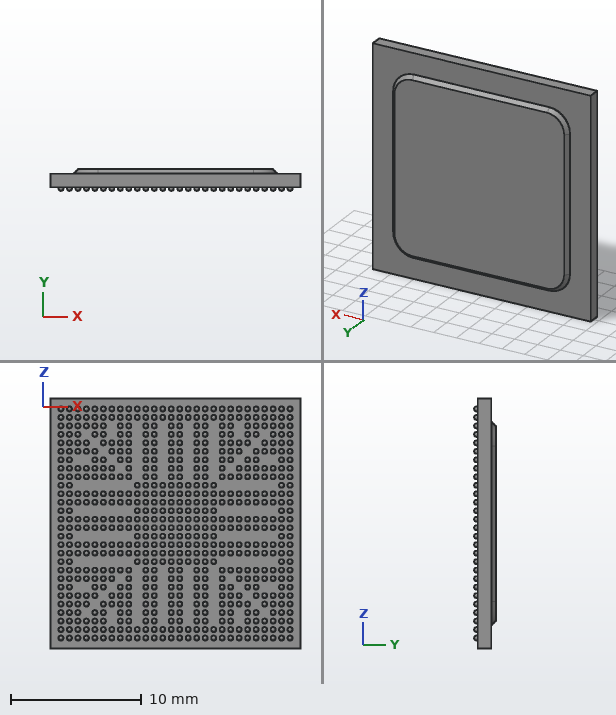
import cadquery as cq
import math

side = 19.15
total_depth = 1.69

ball_height = 0.29
lid_height = 0.36
board_thickness = total_depth - ball_height - lid_height

lid_side = 15.55
lid_corner_radius = 1.84
lid_chamfer = 0.33

balls_per_side = 28
ball_span = 17.55
ball_pitch = ball_span / (balls_per_side - 1)
ball_diameter = 0.4

QUARTER_MAP = (
    "oooooooooooooo",
    "oooooooooooooo",
    "oooooo.oo.oo.o",
    "ooo.oo.oo.oo.o",
    "oooo.oooo.oo.o",
    "ooooo.ooo.oo.o",
    "oo..oo.oo.oo.o",
    "ooooooo.o.oo.o",
    "ooooooooo.oo.o",
    "oo.......ooooo",
    "oooooooooooooo",
    "oooooooooooooo",
    "oo.......ooooo",
    "oooooooooooooo",
)


def make_board():
    """Square board with its ball face at Y = 0."""
    return cq.Workplane("XY").box(side, board_thickness, side, centered=(True, False, True))


def make_lid():
    """Rounded lid with a chamfer all round its outer face."""
    return (
        cq.Workplane("XY")
        .box(lid_side, lid_height, lid_side, centered=(True, False, True))
        .edges("|Y")
        .fillet(lid_corner_radius)
        .faces(">Y")
        .chamfer(lid_chamfer)
        .translate((0, board_thickness, 0))
    )


def ball_positions():
    """XZ centres of all the balls, mirrored out from the quarter map."""
    first = -ball_span / 2
    positions = []
    for row, sites in enumerate(QUARTER_MAP):
        for column, site in enumerate(sites):
            if site == "o":
                x = first + column * ball_pitch
                z = first + row * ball_pitch
                positions += [(x, z), (-x, z), (x, -z), (-x, -z)]
    return positions


def make_ball():
    """Solder ball standing on the board face, turned about its own Y axis."""
    radius = ball_diameter / 2
    centre_y = radius - ball_height
    foot_radius = math.sqrt(radius**2 - centre_y**2)
    return (
        cq.Workplane("XY")
        .lineTo(foot_radius, 0)
        .threePointArc((radius, centre_y), (0, -ball_height))
        .close()
        .revolve(360, (0, 0, 0), (0, 1, 0))
        .val()
    )


ball = make_ball()
balls = [ball.translate(cq.Vector(x, 0, z)) for x, z in ball_positions()]
package = make_board().union(make_lid()).val()
package_with_balls = package.fuse(*balls, glue=True)
result = cq.Workplane("XY").newObject(package_with_balls.Solids())